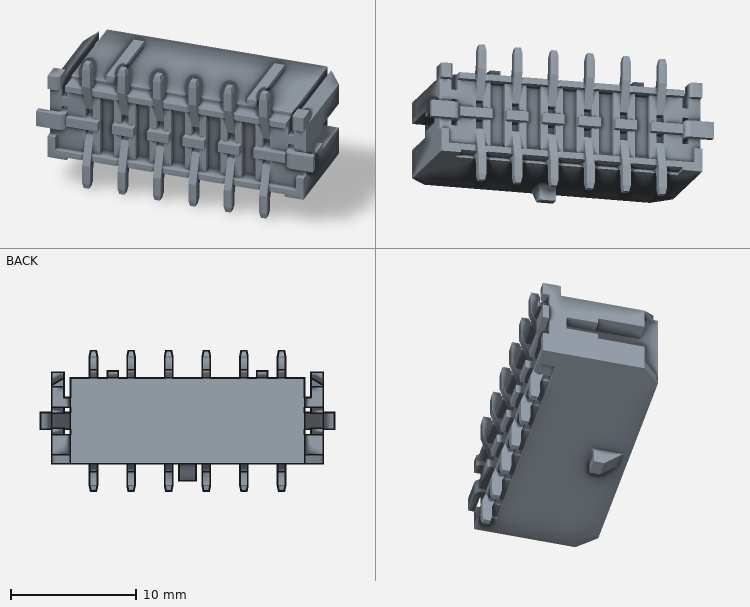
import cadquery as cq


PINS_PER_ROW = 6
PITCH = 3.0
PIN_WIDTH = 0.65
PIN_THICKNESS = 0.79
PIN_TIP_Z = 5.6
PIN_TIP_LENGTH = 0.48
PIN_TIP_INSET = 0.1
PIN_FOOT_INNER_Z = 3.56
PIN_FOOT_BACK_Z = 4.07
PIN_ROOT_BOTTOM_Z = 1.16
PIN_ROOT_TOP_Z = PIN_ROOT_BOTTOM_Z + PIN_WIDTH
PIN_ROOT_FRONT_Y = 0.87
PIN_ROOT_BACK_Y = 1.6
PIN_ROOT_END_Y = 3.0

BODY_WIDTH = 21.68
BODY_HALF_HEIGHT = 3.43
BODY_BACK_Y = 10.11
BODY_FRONT_Y = 0.24
SHELL_FRONT_Y = 1.71
PANEL_Y = 0.8
CORE_HALF_WIDTH = 9.35
SLOT_WIDTH = 0.49
HALF_WIDTH = BODY_WIDTH / 2
CHEEK_INNER_X = CORE_HALF_WIDTH + SLOT_WIDTH
CORNER_CHAMFER = HALF_WIDTH - CORE_HALF_WIDTH
WING_BACK_Y = BODY_BACK_Y - CORNER_CHAMFER
SHOULDER_DROP = 0.58

SLOT_FLOOR_Z = 1.87
POCKET_HALF_HEIGHT = 1.085
POCKET_NARROW_HALF_HEIGHT = 0.6
POCKET_STEP_Y = 4.8
POCKET_END_Y = 2.2

RAIL_INNER_Z = 2.71
RAIL_OUTER_Z = 3.21
BOTTOM_RELIEF_HALF_WIDTH = 9.22
POST_TOP_Z = 3.9
POST_CHAMFER = 0.22
FOOT_BLOCK_WIDTH = 0.64
FOOT_BLOCK_TOP_Z = -1.53
GROOVE_WIDTH = 1.2
GROOVE_DEPTH = 0.7
CROSSBAR_HALF_HEIGHT = 0.39
CROSSBAR_HALF_WIDTH = 9.27
NOTCH_FLARE = 0.22

RIB_X = 5.96
RIB_WIDTH = 0.88
RIB_TOP_Z = 3.99
RIB_BACK_Y = 8.21
LATCH_WIDTH = 1.38
LATCH_TIP_Z = -4.78
LATCH_FRONT_Y = 7.12
LATCH_CREST_Y = 7.98
LATCH_RAMP_END_Y = 9.52
LATCH_FILLET = 0.25

NAIL_SPAN = 23.45
NAIL_HALF_WIDTH = 0.675
NAIL_THICKNESS = 0.52
NAIL_INNER_RADIUS = 0.28

PIN_XS = [(i - (PINS_PER_ROW - 1) / 2) * PITCH for i in range(PINS_PER_ROW)]
GROOVE_XS = [x + PITCH / 2 for x in PIN_XS[:-1]]


def box(x0, x1, y0, y1, z0, z1):
    """Axis-aligned box between two corners."""
    return cq.Workplane("XY").box(x1 - x0, y1 - y0, z1 - z0, centered=False).translate((x0, y0, z0))


def slab(half_width, y0, y1, z0, z1):
    """Box centred on X = 0."""
    return box(-half_width, half_width, y0, y1, z0, z1)


def mirrored(shape, plane):
    """The shape together with its mirror image."""
    return shape.union(shape.mirror(plane))


def make_shell():
    """Main block with back corner chamfers and bevelled top shoulders."""
    shell = slab(HALF_WIDTH, PANEL_Y, BODY_BACK_Y, -BODY_HALF_HEIGHT, BODY_HALF_HEIGHT)
    shell = shell.edges("|Z and >Y").chamfer(CORNER_CHAMFER)
    shoulder = (
        cq.Workplane("XZ", origin=(0, PANEL_Y, 0))
        .moveTo(CHEEK_INNER_X, BODY_HALF_HEIGHT)
        .lineTo(HALF_WIDTH, BODY_HALF_HEIGHT)
        .lineTo(HALF_WIDTH, BODY_HALF_HEIGHT - SHOULDER_DROP)
        .close()
        .extrude(PANEL_Y - BODY_BACK_Y)
    )
    return shell.cut(mirrored(shoulder, "YZ"))


def make_side_cuts():
    """Slot and stepped pocket in one cheek, and the gap between its wings at the back corner."""
    slot = box(CORE_HALF_WIDTH, CHEEK_INNER_X, 0, BODY_BACK_Y, SLOT_FLOOR_Z, POST_TOP_Z)
    nail_slot = box(
        CORE_HALF_WIDTH, CHEEK_INNER_X, 0, BODY_BACK_Y, -POCKET_HALF_HEIGHT, POCKET_HALF_HEIGHT
    )
    pocket = box(
        CORE_HALF_WIDTH, HALF_WIDTH, POCKET_STEP_Y, BODY_BACK_Y, -POCKET_HALF_HEIGHT, POCKET_HALF_HEIGHT
    )
    narrow_pocket = box(
        CORE_HALF_WIDTH,
        HALF_WIDTH,
        POCKET_END_Y,
        POCKET_STEP_Y,
        -POCKET_NARROW_HALF_HEIGHT,
        POCKET_NARROW_HALF_HEIGHT,
    )
    wing_gap = box(CORE_HALF_WIDTH, HALF_WIDTH, WING_BACK_Y, BODY_BACK_Y, -RAIL_INNER_Z, RAIL_INNER_Z)
    return slot.union(nail_slot).union(pocket).union(narrow_pocket).union(wing_gap)


def make_front_frame():
    """Top and bottom rails, crossbar, corner posts and foot blocks in front of the panel."""
    top_rail = slab(CORE_HALF_WIDTH, BODY_FRONT_Y, SHELL_FRONT_Y, RAIL_INNER_Z, RAIL_OUTER_Z)
    bottom_rail = slab(HALF_WIDTH, BODY_FRONT_Y, SHELL_FRONT_Y, -BODY_HALF_HEIGHT, -RAIL_INNER_Z)
    crossbar = slab(
        CROSSBAR_HALF_WIDTH, BODY_FRONT_Y, PANEL_Y, -CROSSBAR_HALF_HEIGHT, CROSSBAR_HALF_HEIGHT
    )
    post = box(CHEEK_INNER_X, HALF_WIDTH, BODY_FRONT_Y, SHELL_FRONT_Y, RAIL_INNER_Z, POST_TOP_Z)
    post = post.edges("|Z and <Y and <X").chamfer(POST_CHAMFER)
    foot_block = box(
        HALF_WIDTH - FOOT_BLOCK_WIDTH,
        HALF_WIDTH,
        BODY_FRONT_Y,
        PANEL_Y,
        -BODY_HALF_HEIGHT,
        FOOT_BLOCK_TOP_Z,
    )
    frame = top_rail.union(bottom_rail).union(crossbar)
    return frame.union(mirrored(post.union(foot_block), "YZ"))


def make_rail_reliefs():
    """Shallow steps that set the top and bottom rails back from the shell surfaces."""
    top = slab(CORE_HALF_WIDTH, 0, SHELL_FRONT_Y, RAIL_OUTER_Z, BODY_HALF_HEIGHT)
    bottom = slab(BOTTOM_RELIEF_HALF_WIDTH, 0, SHELL_FRONT_Y, -BODY_HALF_HEIGHT, -RAIL_OUTER_Z)
    return top.union(bottom)


def make_groove(x):
    """Vertical groove in the panel between two contact columns; it also parts the crossbar."""
    return box(
        x - GROOVE_WIDTH / 2,
        x + GROOVE_WIDTH / 2,
        BODY_FRONT_Y,
        PANEL_Y + GROOVE_DEPTH,
        -RAIL_INNER_Z,
        RAIL_INNER_Z,
    )


def make_contact_clearance(x):
    """Panel slot and flared rail notch for the upper contact at x."""
    half = PIN_WIDTH / 2
    panel_slot = box(
        x - half, x + half, PANEL_Y, SHELL_FRONT_Y, CROSSBAR_HALF_HEIGHT, RAIL_INNER_Z
    )
    notch = (
        cq.Workplane("XY", origin=(x, 0, RAIL_INNER_Z))
        .moveTo(-half, SHELL_FRONT_Y)
        .lineTo(-half, BODY_FRONT_Y + NOTCH_FLARE)
        .lineTo(-half - NOTCH_FLARE, BODY_FRONT_Y)
        .lineTo(half + NOTCH_FLARE, BODY_FRONT_Y)
        .lineTo(half, BODY_FRONT_Y + NOTCH_FLARE)
        .lineTo(half, SHELL_FRONT_Y)
        .close()
        .extrude(BODY_HALF_HEIGHT - RAIL_INNER_Z)
    )
    return panel_slot.union(notch)


def make_contact(x):
    """Upper contact: embedded root, slanted leg, upright foot and tapered tip."""
    taper_z = PIN_TIP_Z - PIN_TIP_LENGTH
    leg = (
        cq.Workplane("YZ", origin=(x - PIN_WIDTH / 2, 0, 0))
        .moveTo(0, taper_z)
        .lineTo(0, PIN_FOOT_INNER_Z)
        .lineTo(PIN_ROOT_FRONT_Y, PIN_ROOT_BOTTOM_Z)
        .lineTo(PIN_ROOT_END_Y, PIN_ROOT_BOTTOM_Z)
        .lineTo(PIN_ROOT_END_Y, PIN_ROOT_TOP_Z)
        .lineTo(PIN_ROOT_BACK_Y, PIN_ROOT_TOP_Z)
        .lineTo(PIN_THICKNESS, PIN_FOOT_BACK_Z)
        .lineTo(PIN_THICKNESS, taper_z)
        .close()
        .extrude(PIN_WIDTH)
    )
    tip = (
        cq.Workplane("XY", origin=(x, PIN_THICKNESS / 2, taper_z))
        .rect(PIN_WIDTH, PIN_THICKNESS)
        .workplane(offset=PIN_TIP_LENGTH)
        .rect(PIN_WIDTH - 2 * PIN_TIP_INSET, PIN_THICKNESS - 2 * PIN_TIP_INSET)
        .loft(ruled=True)
    )
    return leg.union(tip)


def make_rib(x):
    """Polarising rib along the top of the shell."""
    return box(x - RIB_WIDTH / 2, x + RIB_WIDTH / 2, SHELL_FRONT_Y, RIB_BACK_Y, BODY_HALF_HEIGHT, RIB_TOP_Z)


def make_latch():
    """Ramped latch under the shell with a filleted root on its steep side."""
    root_z = -BODY_HALF_HEIGHT
    return (
        cq.Workplane("YZ", origin=(-LATCH_WIDTH / 2, 0, 0))
        .moveTo(LATCH_RAMP_END_Y, root_z)
        .lineTo(LATCH_CREST_Y, LATCH_TIP_Z)
        .lineTo(LATCH_FRONT_Y, LATCH_TIP_Z)
        .lineTo(LATCH_FRONT_Y, root_z - LATCH_FILLET)
        .radiusArc((LATCH_FRONT_Y - LATCH_FILLET, root_z), -LATCH_FILLET)
        .close()
        .extrude(LATCH_WIDTH)
    )


def make_nail():
    """L-shaped fitting nail: a foot on the board and a leg held in the side slot."""
    leg_x = CORE_HALF_WIDTH
    foot_end_x = NAIL_SPAN / 2
    return (
        cq.Workplane("XY", origin=(0, 0, -NAIL_HALF_WIDTH))
        .moveTo(foot_end_x, 0)
        .lineTo(leg_x + SLOT_WIDTH, 0)
        .radiusArc((leg_x, SLOT_WIDTH), SLOT_WIDTH)
        .lineTo(leg_x, POCKET_END_Y)
        .lineTo(CHEEK_INNER_X, POCKET_END_Y)
        .lineTo(CHEEK_INNER_X, NAIL_THICKNESS + NAIL_INNER_RADIUS)
        .radiusArc((CHEEK_INNER_X + NAIL_INNER_RADIUS, NAIL_THICKNESS), -NAIL_INNER_RADIUS)
        .lineTo(foot_end_x, NAIL_THICKNESS)
        .close()
        .extrude(2 * NAIL_HALF_WIDTH)
    )


housing = make_shell().union(make_front_frame())
housing = housing.cut(mirrored(make_side_cuts(), "YZ")).cut(make_rail_reliefs())
for groove_x in GROOVE_XS:
    housing = housing.cut(make_groove(groove_x))
for pin_x in PIN_XS:
    housing = housing.cut(mirrored(make_contact_clearance(pin_x), "XY"))
for rib_x in (-RIB_X, RIB_X):
    housing = housing.union(make_rib(rib_x))

result = housing.union(make_latch()).union(mirrored(make_nail(), "YZ"))
for pin_x in PIN_XS:
    result = result.union(mirrored(make_contact(pin_x), "XY"))